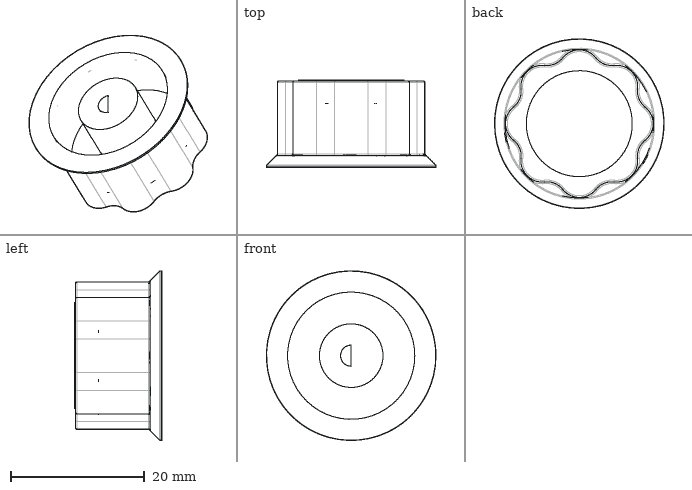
import cadquery as cq
import math

flange_diameter = 25.4
total_height = 13.08
cap_diameter = 15.88
cap_height = 0.13
grip_top = total_height - cap_height
edge_rounding = 0.25

flange_radius = flange_diameter / 2
flange_height = 1.78
rim_height = 0.3
flange_top_radius = flange_radius - (flange_height - rim_height)
flat_top_radius = flange_top_radius - edge_rounding * math.tan(math.radians(45) / 2)

lobe_count = 8
lobe_radius = 3.18
lobe_center_radius = 7.87
flute_center_radius = 12.7

cavity_diameter = 19.05
cavity_depth = 9.52
boss_diameter = 9.52
shaft_hole_diameter = 3.18
shaft_hole_depth = cavity_depth


def polar(radius, angle):
    """Point at the given radius and angle in radians."""
    return (radius * math.cos(angle), radius * math.sin(angle))


def disc(diameter, start, height):
    """Solid cylinder on the knob axis from Y = start to Y = start + height."""
    return cq.Workplane("XZ", origin=(0, start, 0)).circle(diameter / 2).extrude(-height)


def grip_outline():
    """Closed wavy outline whose lobes and flutes meet tangentially."""
    pitch = 2 * math.pi / lobe_count
    lobe_center = polar(lobe_center_radius, 0)
    flute_center = polar(flute_center_radius, pitch / 2)
    center_distance = math.dist(lobe_center, flute_center)
    flute_radius = center_distance - lobe_radius

    lobe_share = lobe_radius / center_distance
    touch_x = lobe_center[0] + lobe_share * (flute_center[0] - lobe_center[0])
    touch_z = lobe_center[1] + lobe_share * (flute_center[1] - lobe_center[1])
    touch_radius = math.hypot(touch_x, touch_z)
    touch_angle = math.atan2(touch_z, touch_x)

    lobe_peak = lobe_center_radius + lobe_radius
    flute_bottom = flute_center_radius - flute_radius

    outline = cq.Workplane("XZ").moveTo(*polar(touch_radius, -touch_angle))
    for index in range(lobe_count):
        lobe_angle = index * pitch
        lobe_end = polar(touch_radius, lobe_angle + touch_angle)
        flute_end = polar(touch_radius, lobe_angle + pitch - touch_angle)
        outline = outline.threePointArc(polar(lobe_peak, lobe_angle), lobe_end)
        outline = outline.threePointArc(polar(flute_bottom, lobe_angle + pitch / 2), flute_end)
    return outline.close()


def blended_grip():
    """Grip with a rounded far edge, blended by a fillet into a plain base disc."""
    grip = grip_outline().extrude(-grip_top).faces(">Y").edges().fillet(edge_rounding)
    blank = grip.union(disc(flange_diameter, 0, flange_height))

    slab_reach = flange_top_radius
    slab_half_height = 0.03
    seam = cq.selectors.BoxSelector(
        (-slab_reach, flange_height - slab_half_height, -slab_reach),
        (slab_reach, flange_height + slab_half_height, slab_reach),
    )
    return blank.edges(seam).fillet(edge_rounding)


def knob_envelope():
    """Conical flange with rounded edges, and above it the cylinder that trims the base fillet."""
    flange = (
        cq.Workplane("XY")
        .lineTo(flange_radius, 0)
        .lineTo(flange_radius, rim_height)
        .lineTo(flange_top_radius, flange_height)
        .lineTo(0, flange_height)
        .close()
        .revolve(360, (0, 0, 0), (0, 1, 0))
    )
    flange = flange.edges("%CIRCLE").edges("not <Y").fillet(edge_rounding)
    return flange.union(disc(2 * flat_top_radius, flange_height, grip_top - flange_height))


def annular_cavity():
    """Ring-shaped hollow that leaves the boss standing in the middle."""
    return disc(cavity_diameter, 0, cavity_depth).cut(disc(boss_diameter, 0, cavity_depth))


def shaft_hole():
    """Half-round blind hole on the -X side of the axis."""
    radius = shaft_hole_diameter / 2
    return (
        cq.Workplane("XZ")
        .moveTo(0, radius)
        .threePointArc((-radius, 0), (0, -radius))
        .close()
        .extrude(-shaft_hole_depth)
    )


body = blended_grip().intersect(knob_envelope())
body = body.union(disc(cap_diameter, grip_top, cap_height))
result = body.cut(annular_cavity()).cut(shaft_hole())